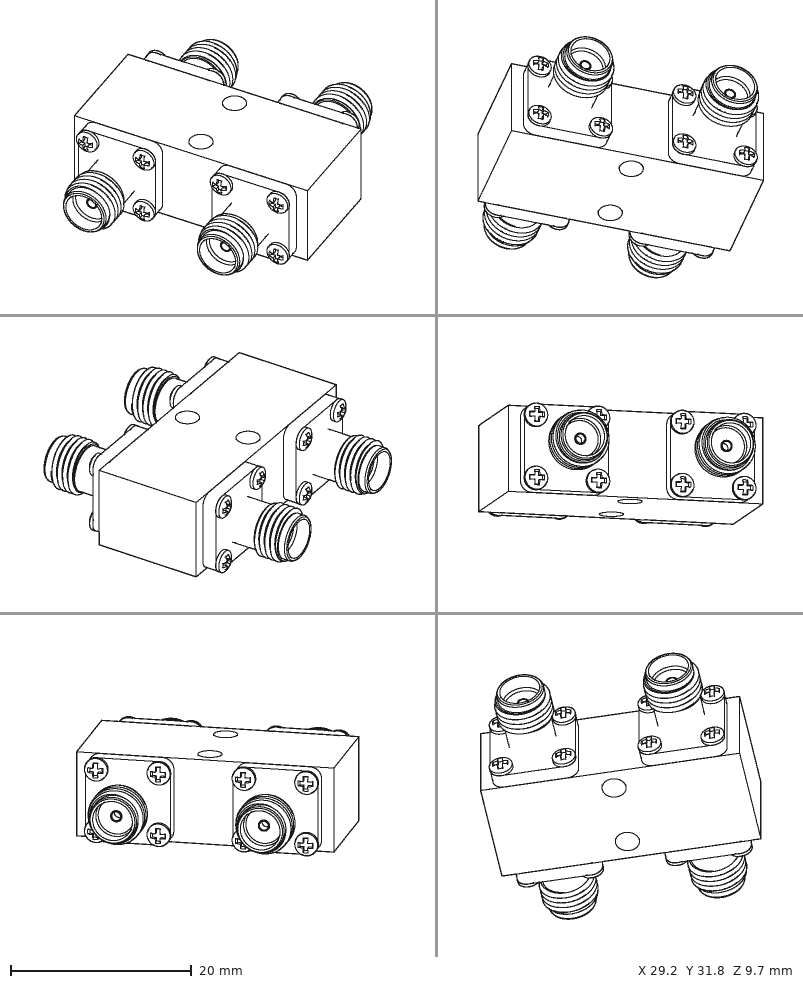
import cadquery as cq
import math

body_x = 29.2
body_y = 12.7
body_z = 9.7
mount_hole_d = 2.67
mount_hole_offset = 3.97

overall_y = 31.75
port_offset = 8.38

flange_side = 9.65
flange_thickness = 1.68
flange_corner_r = 1.27

barrel_d = 5.33
root_fillet_r = 0.22
barrel_tip_d = 5.08
tip_bevel_length = 0.22
mouth_d = 4.5
bore_d = 4.13
bore_depth = 1.97
bore_taper_length = 0.32
contact_d = 1.27
contact_hole_d = 1.02
contact_height = 0.1
contact_hole_depth = 1.27

thread_d = 6.35
thread_pitch = 0.7
thread_tip_gap = 1.02
thread_length = 3.08
thread_flank_angle = 30.0
thread_crest_offset = 1.43
root_overlap = 0.05
thread_bevel = 0.32
trim_margin = 0.15

screw_head_d = 2.6
screw_rim_height = 0.4
screw_head_height = 0.92
screw_spacing = 7.1
cross_length = 1.9
cross_floor_length = 1.4
cross_width = 0.55
cross_depth = 0.57

port_height = (overall_y - body_y) / 2


def make_thread():
    """Right-hand sharp thread, bevelled at both ends."""
    start_z = port_height - thread_tip_gap - thread_length
    crest_r = thread_d / 2
    root_r = barrel_d / 2 - root_overlap
    half_base = (crest_r - root_r) * math.tan(math.radians(thread_flank_angle))

    turns = math.ceil(thread_length / thread_pitch) + 2
    helix_z = port_height - thread_crest_offset - (turns - 1) * thread_pitch
    path = cq.Wire.makeHelix(thread_pitch, turns * thread_pitch, root_r)
    path = cq.Workplane(obj=path).translate((0, 0, helix_z))
    ridge = (
        cq.Workplane("XZ")
        .moveTo(root_r, helix_z - half_base)
        .lineTo(crest_r, helix_z)
        .lineTo(root_r, helix_z + half_base)
        .close()
        .sweep(path, isFrenet=True)
    )
    trim = (
        cq.Workplane("XY")
        .workplane(offset=start_z)
        .circle(crest_r + trim_margin)
        .extrude(thread_length)
        .edges()
        .chamfer(thread_bevel + trim_margin)
    )
    return ridge.intersect(trim)


def make_barrel():
    """Threaded barrel with a bore that tapers at its floor and a hollow centre contact."""
    barrel_r = barrel_d / 2
    fillet_top = flange_thickness + root_fillet_r
    fillet_mid = root_fillet_r * (1 - math.sqrt(0.5))
    bore_floor = port_height - bore_depth
    barrel = (
        cq.Workplane("XZ")
        .lineTo(barrel_r + root_fillet_r, 0)
        .lineTo(barrel_r + root_fillet_r, flange_thickness)
        .threePointArc((barrel_r + fillet_mid, flange_thickness + fillet_mid), (barrel_r, fillet_top))
        .lineTo(barrel_r, port_height - tip_bevel_length)
        .lineTo(barrel_tip_d / 2, port_height)
        .lineTo(mouth_d / 2, port_height)
        .lineTo(mouth_d / 2, bore_floor + bore_taper_length)
        .lineTo(bore_d / 2, bore_floor)
        .lineTo(contact_d / 2, bore_floor)
        .lineTo(contact_d / 2, bore_floor + contact_height)
        .lineTo(contact_hole_d / 2, bore_floor + contact_height)
        .lineTo(contact_hole_d / 2, bore_floor - contact_hole_depth)
        .lineTo(0, bore_floor - contact_hole_depth)
        .close()
        .revolve(360, (0, 0), (0, 1))
    )
    return barrel.union(make_thread())


def make_recess_arm():
    """One bar of the cross recess, with sloping ends."""
    floor_z = screw_head_height - cross_depth
    return (
        cq.Workplane("XZ")
        .moveTo(-cross_floor_length / 2, floor_z)
        .lineTo(cross_floor_length / 2, floor_z)
        .lineTo(cross_length / 2, screw_head_height)
        .lineTo(-cross_length / 2, screw_head_height)
        .close()
        .extrude(cross_width / 2, both=True)
    )


def make_screw_head():
    """Domed head with a cross recess, seated on the plane Z = 0."""
    head_r = screw_head_d / 2
    dome_rise = screw_head_height - screw_rim_height
    dome_r = (head_r**2 + dome_rise**2) / (2 * dome_rise)
    mid_x = head_r / 2
    mid_z = screw_head_height - dome_r + math.sqrt(dome_r**2 - mid_x**2)
    head = (
        cq.Workplane("XZ")
        .lineTo(head_r, 0)
        .lineTo(head_r, screw_rim_height)
        .threePointArc((mid_x, mid_z), (0, screw_head_height))
        .close()
        .revolve(360, (0, 0), (0, 1))
    )
    arm = make_recess_arm()
    return head.cut(arm).cut(arm.rotate((0, 0, 0), (0, 0, 1), 90))


def make_port():
    """Complete connector, standing on Z = 0 and pointing along +Z."""
    port = (
        cq.Workplane("XY")
        .rect(flange_side, flange_side)
        .extrude(flange_thickness)
        .edges("|Z")
        .fillet(flange_corner_r)
    )
    port = port.union(make_barrel())
    screw = make_screw_head()
    for side_x in (-1, 1):
        for side_y in (-1, 1):
            corner = (side_x * screw_spacing / 2, side_y * screw_spacing / 2, flange_thickness)
            port = port.union(screw.translate(corner))
    return port


body = (
    cq.Workplane("XY")
    .box(body_x, body_y, body_z)
    .faces(">Z")
    .workplane()
    .pushPoints([(0, -mount_hole_offset), (0, mount_hole_offset)])
    .hole(mount_hole_d)
)

front_port = make_port().rotate((0, 0, 0), (1, 0, 0), 90).translate((0, -body_y / 2, 0))
back_port = front_port.rotate((0, 0, 0), (0, 0, 1), 180)

result = body
for port_x in (-port_offset, port_offset):
    for port in (front_port, back_port):
        result = result.union(port.translate((port_x, 0, 0)))